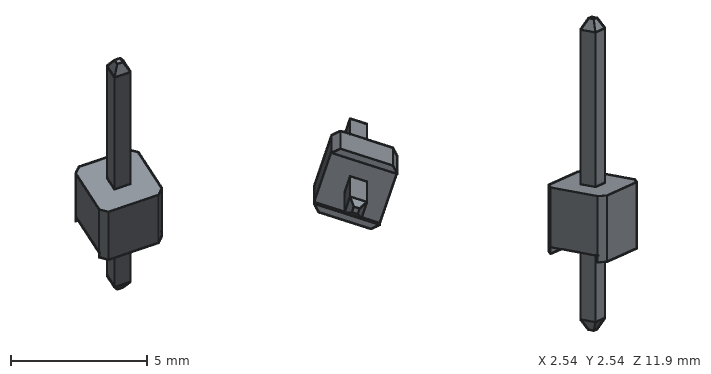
import cadquery as cq

pin_length = 11.94
pin_width = 0.66
tip_width = 0.23
tip_height = 0.42

block_width = 2.54
block_height = block_width
block_bottom = 3.06
corner_chamfer = block_width / 10

channel_depth = corner_chamfer
channel_width = block_width - 2 * corner_chamfer


def make_tip(base_z, end_z):
    """Square frustum narrowing from the pin shank to a blunt end."""
    return (
        cq.Workplane("XY", origin=(0, 0, base_z))
        .rect(pin_width, pin_width)
        .workplane(offset=end_z - base_z)
        .rect(tip_width, tip_width)
        .loft(ruled=True)
    )


def make_pin():
    shank_top = pin_length - tip_height
    shank = (
        cq.Workplane("XY", origin=(0, 0, tip_height))
        .rect(pin_width, pin_width)
        .extrude(shank_top - tip_height)
    )
    return shank.union(make_tip(tip_height, 0)).union(make_tip(shank_top, pin_length))


def make_block():
    block = (
        cq.Workplane("XY", origin=(0, 0, block_bottom))
        .rect(block_width, block_width)
        .extrude(block_height)
        .edges("|Z")
        .chamfer(corner_chamfer)
    )
    channel = (
        cq.Workplane("XY", origin=(0, 0, block_bottom))
        .rect(channel_width, block_width)
        .extrude(channel_depth)
    )
    return block.cut(channel)


result = make_block().union(make_pin())